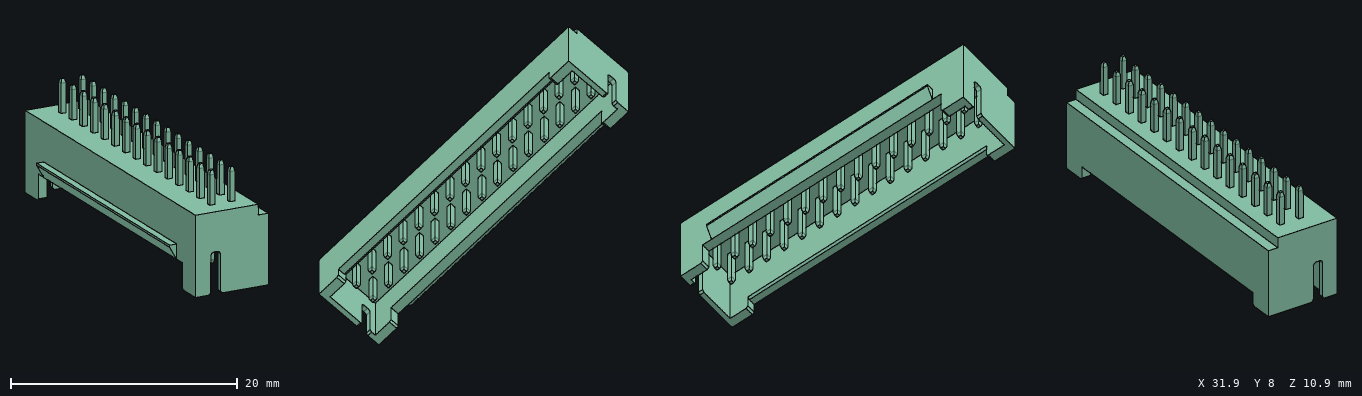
import cadquery as cq

body_length = 31.9
body_depth = 7.3
body_height = 7.7
front_y = -body_depth / 2
back_y = body_depth / 2
back_step = 1.0

end_wall = 0.5
side_wall = 0.9
roof_thickness = 1.5
cavity_length = body_length - 2 * end_wall
cavity_depth = body_depth - 2 * side_wall
cavity_height = body_height - roof_thickness

leg_length = 2.5
notch_length = body_length - 2 * leg_length
front_notch_height = 2.5
back_notch_height = 1.3
edge_chamfer = 0.2

slot_width = 0.95
slot_height = 3.95
slot_from_front = 1.55
slot_corner_radius = 0.3
slot_y = front_y + slot_from_front + slot_width / 2

latch_length = 24.9
latch_reach = 0.7
latch_lip = 0.2
latch_top = slot_height
latch_bottom = front_notch_height

pins_per_row = 15
pin_pitch = 1.99
row_pitch = 2.0
pin_width = 0.5
pin_tip_width = 0.3
pin_tip_length = 0.38
pin_bottom = 2.2
pin_top = 10.9


def box(length, depth, height, y_center=0.0):
    """Box centred on X, standing on the bottom plane."""
    return cq.Workplane("XY").box(length, depth, height, (True, True, False)).translate((0, y_center, 0))


def make_shell():
    step = box(body_length, back_step, body_height, back_y - back_step / 2)
    step = step.translate((0, 0, body_height - back_step))
    cavity = box(cavity_length, cavity_depth, cavity_height)
    return box(body_length, body_depth, body_height).cut(step).cut(cavity)


def flared_opening(plane, width, height, depth):
    """Opening cutter, extruded along the plane normal, widened by a chamfer at the bottom."""
    half_width = width / 2
    flared_half = half_width + edge_chamfer
    return (
        cq.Workplane(plane)
        .moveTo(-flared_half, 0)
        .lineTo(-half_width, edge_chamfer)
        .lineTo(-half_width, height)
        .lineTo(half_width, height)
        .lineTo(half_width, edge_chamfer)
        .lineTo(flared_half, 0)
        .close()
        .extrude(depth)
    )


def make_wall_notch(height, wall_y):
    """Notch through a long wall whose lower-Y face is at wall_y."""
    notch = flared_opening("XZ", notch_length, height, side_wall)
    return notch.translate((0, wall_y + side_wall, 0))


def make_back_edge_chamfer():
    """Wedge that bevels the cavity-side bottom edge of the notched back wall."""
    inner_y = back_y - side_wall
    return (
        cq.Workplane("YZ")
        .moveTo(inner_y, back_notch_height)
        .lineTo(inner_y + edge_chamfer, back_notch_height)
        .lineTo(inner_y, back_notch_height + edge_chamfer)
        .close()
        .extrude(notch_length / 2, both=True)
    )


def make_end_slots():
    """One cutter running the full length, opening both end walls."""
    slot = flared_opening("YZ", slot_width, slot_height, body_length)
    slot = slot.faces(">Z").edges("|X").fillet(slot_corner_radius)
    return slot.translate((-body_length / 2, slot_y, 0))


def make_latch():
    tip_y = front_y - latch_reach
    return (
        cq.Workplane("YZ")
        .moveTo(front_y, latch_bottom)
        .lineTo(tip_y, latch_top - latch_lip)
        .lineTo(tip_y, latch_top)
        .lineTo(front_y, latch_top)
        .close()
        .extrude(latch_length / 2, both=True)
    )


def make_pin():
    """Square pin with a tapered tip at each end."""
    shaft_bottom = pin_bottom + pin_tip_length
    shaft_top = pin_top - pin_tip_length
    shaft = cq.Workplane("XY").workplane(offset=shaft_bottom).rect(pin_width, pin_width)
    pin = shaft.extrude(shaft_top - shaft_bottom)
    for shaft_end, tip_offset in ((shaft_bottom, -pin_tip_length), (shaft_top, pin_tip_length)):
        tip = (
            cq.Workplane("XY")
            .workplane(offset=shaft_end)
            .rect(pin_width, pin_width)
            .workplane(offset=tip_offset)
            .rect(pin_tip_width, pin_tip_width)
            .loft(ruled=True)
        )
        pin = pin.union(tip)
    return pin


result = make_shell()
result = result.cut(make_wall_notch(front_notch_height, front_y))
result = result.cut(make_wall_notch(back_notch_height, back_y - side_wall))
result = result.cut(make_back_edge_chamfer())
result = result.cut(make_end_slots())
result = result.union(make_latch())

pin = make_pin()
for column in range(pins_per_row):
    pin_x = (column - (pins_per_row - 1) / 2) * pin_pitch
    for pin_y in (-row_pitch / 2, row_pitch / 2):
        result = result.union(pin.translate((pin_x, pin_y, 0)))